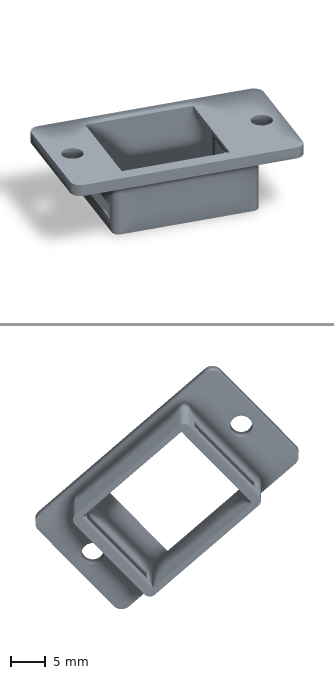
import cadquery as cq

plate_width = 19.05
plate_length = 35.56
plate_thickness = 1.78
plate_corner_radius = 1.57

housing_width = 16.76
housing_length = 22.35
housing_height = 7.97
housing_corner_radius = 1.02

cavity_width = 14.99
cavity_length = 19.43

opening_length = 16.51
lip_thickness = 0.5

mount_hole_diameter = 3.2
mount_hole_spacing = 28.96

slot_width = 12.7
front_slot_height = 2.15
rear_slot_height = 2.54
slot_bottom_gap = 1.8

plate_top = housing_height + plate_thickness
cavity_ceiling = plate_top - lip_thickness

opening_center_y = (opening_length - cavity_length) / 2


def rounded_block(width, length, height, corner_radius):
    """Upright block on Z = 0 with rounded vertical edges."""
    return (
        cq.Workplane("XY")
        .box(width, length, height, centered=(True, True, False))
        .edges("|Z")
        .fillet(corner_radius)
    )


def make_plate():
    plate = rounded_block(plate_width, plate_length, plate_thickness, plate_corner_radius)
    return plate.translate((0, 0, housing_height))


def make_housing():
    return rounded_block(housing_width, housing_length, housing_height, housing_corner_radius)


def make_cavity():
    return cq.Workplane("XY").box(
        cavity_width, cavity_length, cavity_ceiling, centered=(True, True, False)
    )


def make_opening():
    opening = cq.Workplane("XY").box(
        cavity_width, opening_length, plate_top, centered=(True, True, False)
    )
    return opening.translate((0, opening_center_y, 0))


def make_mount_holes():
    half_spacing = mount_hole_spacing / 2
    return (
        cq.Workplane("XY")
        .pushPoints([(0, half_spacing), (0, -half_spacing)])
        .circle(mount_hole_diameter / 2)
        .extrude(plate_top)
    )


def make_end_slot(slot_height, end_direction):
    """Slot from the middle of the housing out through its -Y (-1) or +Y (+1) end wall."""
    slot_length = housing_length / 2
    slot = cq.Workplane("XY").box(
        slot_width, slot_length, slot_height, centered=(True, True, False)
    )
    return slot.translate((0, end_direction * slot_length / 2, slot_bottom_gap))


result = (
    make_plate()
    .union(make_housing())
    .cut(make_cavity())
    .cut(make_opening())
    .cut(make_mount_holes())
    .cut(make_end_slot(front_slot_height, -1))
    .cut(make_end_slot(rear_slot_height, 1))
)